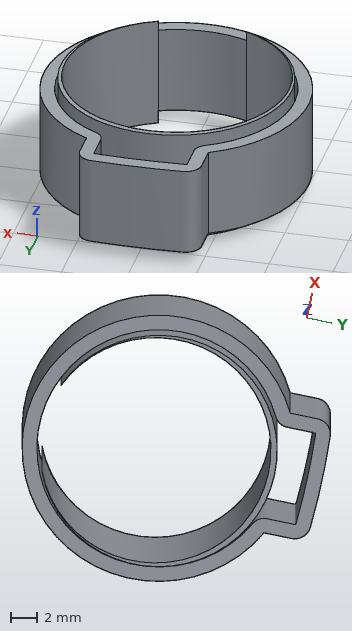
import cadquery as cq
import math

BAND_RADIUS = 10.35
BAND_WALL = 1.13
BAND_HEIGHT = 7.0
EAR_TOP = 12.65
EAR_HALF_WIDTH = 4.75
EAR_CROWN_RADIUS = 57.48
EAR_INNER_BEND = 0.11

INSERT_RADIUS = 9.0
INSERT_WALL_MAX = 0.48
INSERT_HEIGHT = 8.8
INSERT_GAP_ANGLE = 45.0


def mirrored(point):
    return (-point[0], point[1])


def centred_extrusion(profile, height):
    """Extrude a profile equally above and below the XY plane."""
    return profile.extrude(height / 2, both=True)


def make_band():
    """Clamp band: outer outline minus its inward offset by the wall."""
    bore_radius = BAND_RADIUS - BAND_WALL
    leg_inside = EAR_HALF_WIDTH - BAND_WALL
    outer_crown_radius = EAR_CROWN_RADIUS + BAND_WALL
    crown_centre_y = EAR_TOP - outer_crown_radius

    corner_y = math.sqrt(BAND_RADIUS**2 - EAR_HALF_WIDTH**2)
    bend_centre = (EAR_HALF_WIDTH, corner_y)
    shrink = bore_radius / BAND_RADIUS
    bore_end = (EAR_HALF_WIDTH * shrink, corner_y * shrink)
    bend_end = (leg_inside, corner_y)

    outer_bend = EAR_INNER_BEND + BAND_WALL
    top_bend_x = leg_inside - EAR_INNER_BEND
    bend_reach = EAR_CROWN_RADIUS - EAR_INNER_BEND
    top_bend_rise = math.sqrt(bend_reach**2 - top_bend_x**2)
    top_bend_y = crown_centre_y + top_bend_rise
    outer_leg_top = (EAR_HALF_WIDTH, top_bend_y)
    inner_leg_top = (leg_inside, top_bend_y)

    def crown_end(radius):
        """Tangent point of the crown arc of this radius with its bend."""
        scale = radius / bend_reach
        return (top_bend_x * scale, crown_centre_y + top_bend_rise * scale)

    outer_crown_end = crown_end(outer_crown_radius)
    inner_crown_end = crown_end(EAR_CROWN_RADIUS)

    outer = (
        cq.Workplane("XY")
        .moveTo(*bend_centre)
        .lineTo(*outer_leg_top)
        .radiusArc(outer_crown_end, -outer_bend)
        .threePointArc((0, EAR_TOP), mirrored(outer_crown_end))
        .radiusArc(mirrored(outer_leg_top), -outer_bend)
        .lineTo(*mirrored(bend_centre))
        .threePointArc((0, -BAND_RADIUS), bend_centre)
        .close()
    )
    opening = (
        cq.Workplane("XY")
        .moveTo(*bend_end)
        .lineTo(*inner_leg_top)
        .radiusArc(inner_crown_end, -EAR_INNER_BEND)
        .threePointArc((0, EAR_TOP - BAND_WALL), mirrored(inner_crown_end))
        .radiusArc(mirrored(inner_leg_top), -EAR_INNER_BEND)
        .lineTo(*mirrored(bend_end))
        .radiusArc(mirrored(bore_end), BAND_WALL)
        .threePointArc((0, -bore_radius), bore_end)
        .radiusArc(bend_end, BAND_WALL)
        .close()
    )
    return centred_extrusion(outer, BAND_HEIGHT).cut(centred_extrusion(opening, BAND_HEIGHT))


def make_insert():
    """Tapered open ring: the bore touches the outer circle at -Y, inside the gap."""
    bore_radius = INSERT_RADIUS - INSERT_WALL_MAX / 2
    bore_centre_y = -INSERT_WALL_MAX / 2
    half_gap = math.radians(INSERT_GAP_ANGLE / 2)
    direction = (math.sin(half_gap), -math.cos(half_gap))

    outer_end = (INSERT_RADIUS * direction[0], INSERT_RADIUS * direction[1])
    along = bore_centre_y * direction[1]
    across = bore_centre_y * direction[0]
    reach = along + math.sqrt(bore_radius**2 - across**2)
    inner_end = (reach * direction[0], reach * direction[1])

    profile = (
        cq.Workplane("XY")
        .moveTo(*outer_end)
        .threePointArc((0, INSERT_RADIUS), mirrored(outer_end))
        .lineTo(*mirrored(inner_end))
        .threePointArc((0, bore_centre_y + bore_radius), inner_end)
        .close()
    )
    return centred_extrusion(profile, INSERT_HEIGHT)


band = make_band()
insert = make_insert()

result = cq.Compound.makeCompound([band.val(), insert.val()])